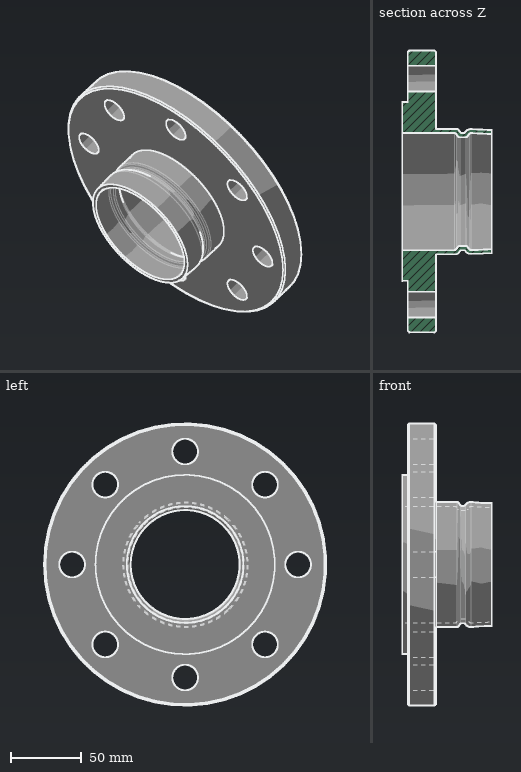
import cadquery as cq
import math

total_length = 63.5
flange_diameter = 200.0
flange_thickness = 20.2
flange_chamfer = 1.2
raised_face_diameter = 127.0
raised_face_height = 3.8

bolt_hole_count = 8
bolt_hole_diameter = 18.0
bolt_circle_diameter = 160.0

pipe_diameter = 88.8
pipe_bore_diameter = 82.8
end_taper_drop = 0.72

groove_diameter = 83.2
bead_bore_diameter = 77.0
groove_center = 42.8
groove_floor_width = 2.8
groove_wall_angle = math.radians(55)
groove_rounding = 1.5
groove_shoulder_rounding = 4.8

flange_back = raised_face_height + flange_thickness
pipe_radius = pipe_diameter / 2
bore_radius = pipe_bore_diameter / 2
groove_radius = groove_diameter / 2
bead_radius = bead_bore_diameter / 2

bead_widening = (groove_radius - bead_radius) * math.tan(groove_wall_angle / 2)
bead_floor_width = groove_floor_width + 2 * bead_widening


def formed_pipe_section(surface_radius, floor_radius, floor_width, shoulder_rounding):
    """Area between the axis and one surface of the grooved pipe, from raised face to pipe end.

    The floor width is measured between the sharp corners, before they are rounded.
    """
    wall_run = (surface_radius - floor_radius) / math.tan(groove_wall_angle)
    floor_start = groove_center - floor_width / 2
    floor_end = groove_center + floor_width / 2
    groove_start = floor_start - wall_run
    groove_end = floor_end + wall_run
    groove_corners = [
        (groove_start, surface_radius, groove_rounding, 1),
        (floor_start, floor_radius, groove_rounding, -1),
        (floor_end, floor_radius, groove_rounding, -1),
        (groove_end, surface_radius, shoulder_rounding, 1),
    ]
    section = cq.Workplane("XY").moveTo(0, 0).lineTo(0, surface_radius)
    for corner_x, corner_radius, rounding, side in groove_corners:
        section = add_rounded_corner(section, corner_x, corner_radius, rounding, side)
    return (
        section.lineTo(total_length, surface_radius - end_taper_drop)
        .lineTo(total_length, 0)
        .close()
    )


def add_rounded_corner(section, corner_x, corner_radius, rounding, side):
    """Continue the section up to and around a corner between a level line and a groove wall.

    A corner at the pipe surface has side 1 (arc center below), one at the floor has side -1.
    """
    flat_direction = side if corner_x > groove_center else -side
    tangent_length = rounding * math.tan(groove_wall_angle / 2)
    center_x = corner_x + flat_direction * tangent_length
    center_radius = corner_radius - side * rounding

    def arc_point(angle):
        x = center_x - flat_direction * rounding * math.sin(angle)
        return x, center_radius + side * rounding * math.cos(angle)

    flat_end = arc_point(0)
    arc_middle = arc_point(groove_wall_angle / 2)
    wall_end = arc_point(groove_wall_angle)
    if flat_end[0] < wall_end[0]:
        return section.lineTo(*flat_end).threePointArc(arc_middle, wall_end)
    return section.lineTo(*wall_end).threePointArc(arc_middle, flat_end)


def revolve_about_axis(section):
    return section.revolve(360, (0, 0, 0), (1, 0, 0))


def disc(diameter, start, thickness):
    return cq.Workplane("YZ", origin=(start, 0, 0)).circle(diameter / 2).extrude(thickness)


def bolt_holes():
    return (
        cq.Workplane("YZ")
        .polarArray(bolt_circle_diameter / 2, 0, 360, bolt_hole_count)
        .circle(bolt_hole_diameter / 2)
        .extrude(flange_back)
    )


flange = disc(flange_diameter, raised_face_height, flange_thickness).edges().chamfer(flange_chamfer)
raised_face = disc(raised_face_diameter, 0, raised_face_height)

pipe_outside = revolve_about_axis(
    formed_pipe_section(pipe_radius, groove_radius, groove_floor_width, groove_shoulder_rounding)
)
bore = revolve_about_axis(
    formed_pipe_section(bore_radius, bead_radius, bead_floor_width, groove_rounding)
)

result = flange.union(raised_face).union(pipe_outside).cut(bore).cut(bolt_holes())